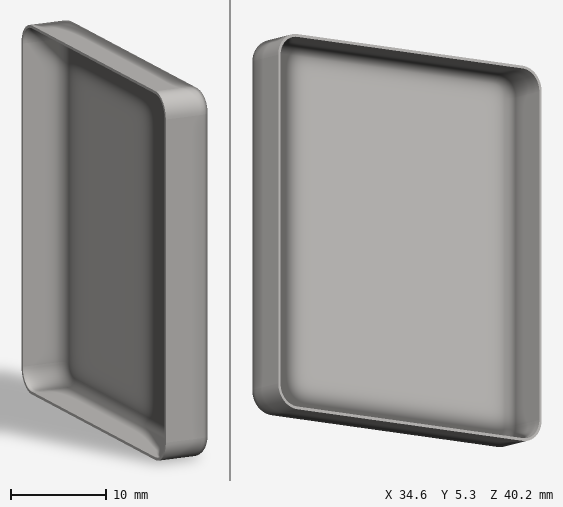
import cadquery as cq

width = 34.6
depth = 5.3
height = 40.2

wall = 0.3
corner_radius = 2.5
floor_edge_radius = 1.13


def rounded_block(inset):
    """Block offset inwards by inset, with rounded corners and a rounded closed (+Y) edge."""
    return (
        cq.Workplane("XY")
        .box(width - 2 * inset, depth, height - 2 * inset)
        .edges("|Y")
        .fillet(corner_radius - inset)
        .faces(">Y")
        .edges()
        .fillet(floor_edge_radius - inset)
    )


outer_body = rounded_block(0)
cavity = rounded_block(wall).translate((0, -wall, 0))

result = outer_body.cut(cavity)